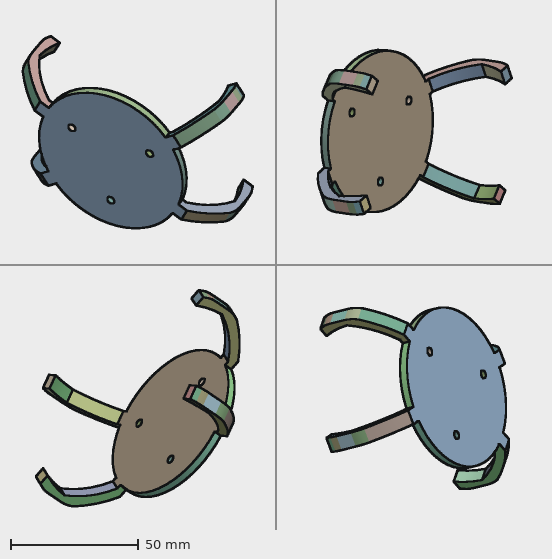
import cadquery as cq
import math

plate_diameter = 64.0
plate_thickness = 3.5

hole_diameter = 3.1
hole_circle_radius = 20.0
hole_angles = (30, 150, 270)

arm_angles = (35, 155, 215, 335)
arm_width = 6.0
arm_depth = 32.0
arm_start_radius = 23.8

overall_length = 95.1
long_arm_angle = math.radians(25)
arm_reach = (overall_length / 2 - arm_width / 2 * math.sin(long_arm_angle)) / math.cos(long_arm_angle)

outer_foot = (36.0, 0)
outer_flank_bulge = (44.1, 6.7)
outer_shoulder_start = (49.6, 13.2)
outer_shoulder_bulge = (50.7, 16.0)
reach_start = (arm_reach, 19.0)
reach_end = (arm_reach, 26.05)
outer_hook_bulge = (51.0, 27.8)
outer_hook_end = (50.7, 29.4)
outer_tip = (49.6, arm_depth)
inner_tip = (45.2, arm_depth)
inner_hook_bulge = (47.3, 25.7)
inner_knee = (48.0, 20.0)
inner_flank_bulge = (42.1, 10.7)
inner_foot = (33.8, plate_thickness)


def make_plate():
    """Disc extruded from the front face toward +Y."""
    return cq.Workplane("XZ").circle(plate_diameter / 2).extrude(-plate_thickness)


def make_arm(angle):
    """Curved claw reaching outward and back, turned to its angle in the XZ plane."""
    arm = (
        cq.Workplane("XY")
        .moveTo(arm_start_radius, 0)
        .lineTo(*outer_foot)
        .threePointArc(outer_flank_bulge, outer_shoulder_start)
        .threePointArc(outer_shoulder_bulge, reach_start)
        .lineTo(*reach_end)
        .threePointArc(outer_hook_bulge, outer_hook_end)
        .lineTo(*outer_tip)
        .lineTo(*inner_tip)
        .threePointArc(inner_hook_bulge, inner_knee)
        .threePointArc(inner_flank_bulge, inner_foot)
        .lineTo(arm_start_radius, plate_thickness)
        .close()
        .extrude(arm_width / 2, both=True)
    )
    return arm.rotate((0, 0, 0), (0, -1, 0), angle)


def make_holes():
    """Cylinders that cut the mounting holes."""
    centers = [
        (
            hole_circle_radius * math.cos(math.radians(angle)),
            hole_circle_radius * math.sin(math.radians(angle)),
        )
        for angle in hole_angles
    ]
    return (
        cq.Workplane("XZ")
        .pushPoints(centers)
        .circle(hole_diameter / 2)
        .extrude(-plate_thickness)
    )


body = make_plate()
for arm_angle in arm_angles:
    body = body.union(make_arm(arm_angle))

result = body.cut(make_holes())